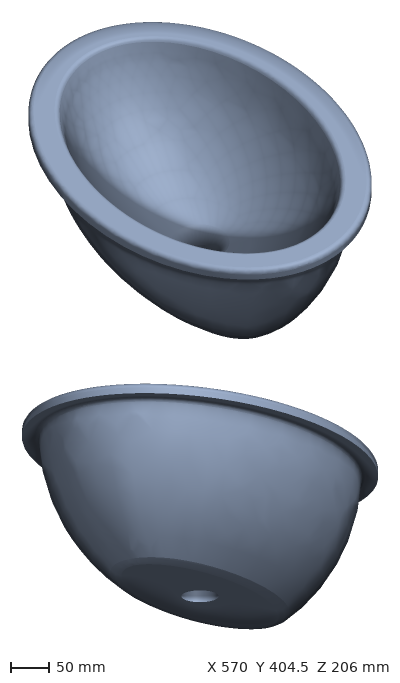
import cadquery as cq
import math

rim_length = 570.0
rim_width = 404.5
total_height = 206.0
rim_thickness = 15.0
rim_underside = total_height - rim_thickness
edge_radius = 7.0
neck_radius = 4.5
foot_radius = 23.0

wall_arc_radius = 245.0
wall_arc_center_x = 18.0
wall_arc_center_z = 200.0
wall_axis_difference = (rim_length - rim_width) / 2
wall_levels = 7

mouth_half_length = 245.0
mouth_half_width = 162.5
basin_arc_radius = 236.5
basin_depth = 158.5
basin_levels = 7

drain_diameter = 48.5
drain_mouth_diameter = 76.5
drain_mouth_depth = 23.0

selection_margin = 0.5


def ellipse_loft(sections):
    """Smooth solid through horizontal ellipses given as (z, half length, half width)."""
    wires = [
        cq.Wire.makeEllipse(
            half_length, half_width, cq.Vector(0, 0, z), cq.Vector(0, 0, 1), cq.Vector(1, 0, 0)
        )
        for z, half_length, half_width in sections
    ]
    return cq.Workplane(obj=cq.Solid.makeLoft(wires))


def make_rim():
    return (
        cq.Workplane("XY", origin=(0, 0, rim_underside))
        .ellipse(rim_length / 2, rim_width / 2)
        .extrude(rim_thickness)
        .faces(">Z")
        .edges()
        .fillet(edge_radius)
    )


def make_bowl_body():
    sections = []
    for level in range(wall_levels):
        z = rim_underside * level / (wall_levels - 1)
        rise = z - wall_arc_center_z
        half_length = wall_arc_center_x + math.sqrt(wall_arc_radius**2 - rise**2)
        sections.append((z, half_length, half_length - wall_axis_difference))
    return ellipse_loft(sections).faces("<Z").edges().fillet(foot_radius)


def make_basin():
    drain_radius = drain_mouth_diameter / 2
    floor = total_height - basin_depth

    run = mouth_half_width - drain_radius
    chord = math.hypot(run, basin_depth)
    sagitta_leg = math.sqrt(basin_arc_radius**2 - (chord / 2) ** 2)
    center_y = (mouth_half_width + drain_radius) / 2 - sagitta_leg * basin_depth / chord
    center_z = floor + basin_depth / 2 + sagitta_leg * run / chord

    start_angle = math.atan2(floor - center_z, drain_radius - center_y)
    end_angle = math.atan2(total_height - center_z, mouth_half_width - center_y)
    stretch = (mouth_half_length - drain_radius) / run
    sections = [(floor, drain_radius, drain_radius)]
    for level in range(1, basin_levels):
        angle = start_angle + (end_angle - start_angle) * level / (basin_levels - 1)
        half_width = center_y + basin_arc_radius * math.cos(angle)
        half_length = drain_radius + stretch * (half_width - drain_radius)
        z = center_z + basin_arc_radius * math.sin(angle)
        sections.append((z, half_length, half_width))
    return ellipse_loft(sections)


def make_drain():
    hole_radius = drain_diameter / 2
    mouth_radius = drain_mouth_diameter / 2
    floor = total_height - basin_depth
    return (
        cq.Workplane("XZ")
        .moveTo(0, 0)
        .lineTo(hole_radius, 0)
        .lineTo(hole_radius, floor - drain_mouth_depth)
        .tangentArcPoint((mouth_radius, floor), relative=False)
        .lineTo(0, floor)
        .close()
        .revolve(360, (0, 0, 0), (0, 1, 0))
    )


def inner_edges(level):
    """Selector for the edges at a height that lie inside the flat top of the rim."""
    half_length = rim_length / 2 - edge_radius - selection_margin
    half_width = rim_width / 2 - edge_radius - selection_margin
    return cq.selectors.BoxSelector(
        (-half_length, -half_width, level - selection_margin),
        (half_length, half_width, level + selection_margin),
        boundingbox=True,
    )


body = make_bowl_body().union(make_rim())
body = body.edges(inner_edges(rim_underside)).fillet(neck_radius)
body = body.cut(make_basin())
body = body.edges(inner_edges(total_height)).fillet(edge_radius)
result = body.cut(make_drain())